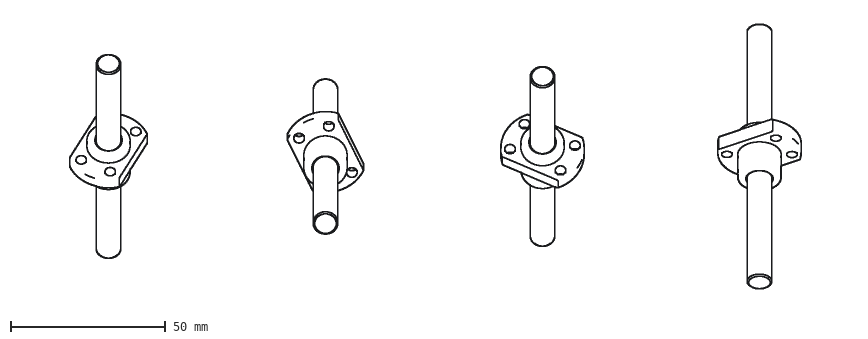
import cadquery as cq
import math

shaft_diameter = 8.0
shaft_length = 100.0
shaft_chamfer = 0.5

nut_diameter = 14.0
nut_length = 17.6
nut_fillet = 0.5
bore_chamfer = 0.4

flange_diameter = 27.0
flange_width = 18.0
flange_thickness = 5.0
flange_setback = 3.0
flange_fillet = 0.5
flange_bottom = nut_length / 2 - flange_setback - flange_thickness

hole_diameter = 3.4
bolt_circle_diameter = 21.0
hole_angle = 30.0


def cylinder(diameter, length, bottom):
    """Upright cylinder on the Z axis."""
    return cq.Workplane("XY").workplane(offset=bottom).circle(diameter / 2).extrude(length)


def make_shaft():
    """Round bar with chamfered ends."""
    bar = cylinder(shaft_diameter, shaft_length, -shaft_length / 2)
    return bar.faces("<Z or >Z").edges().chamfer(shaft_chamfer)


def make_nut():
    """Bored round body with rounded outer rims and chamfered bore rims."""
    bottom = -nut_length / 2
    body = cylinder(nut_diameter, nut_length, bottom)
    body = body.faces("<Z or >Z").edges().fillet(nut_fillet)
    body = body.cut(cylinder(shaft_diameter, nut_length, bottom))
    bore_rims = body.faces("<Z or >Z").edges(cq.selectors.RadiusNthSelector(0))
    return bore_rims.chamfer(bore_chamfer)


def make_flange():
    """Round-edged disc with two flats and four through holes."""
    disc = cylinder(flange_diameter, flange_thickness, flange_bottom)
    disc = disc.faces("<Z or >Z").edges().fillet(flange_fillet)
    flats = (
        cq.Workplane("XY")
        .workplane(offset=flange_bottom)
        .rect(flange_width, flange_diameter)
        .extrude(flange_thickness)
    )
    hole_spacing_x = bolt_circle_diameter * math.sin(math.radians(hole_angle))
    hole_spacing_y = bolt_circle_diameter * math.cos(math.radians(hole_angle))
    holes = (
        cq.Workplane("XY")
        .workplane(offset=flange_bottom)
        .rect(hole_spacing_x, hole_spacing_y, forConstruction=True)
        .vertices()
        .circle(hole_diameter / 2)
        .extrude(flange_thickness)
    )
    return disc.intersect(flats).cut(holes)


result = make_nut().union(make_flange()).union(make_shaft())